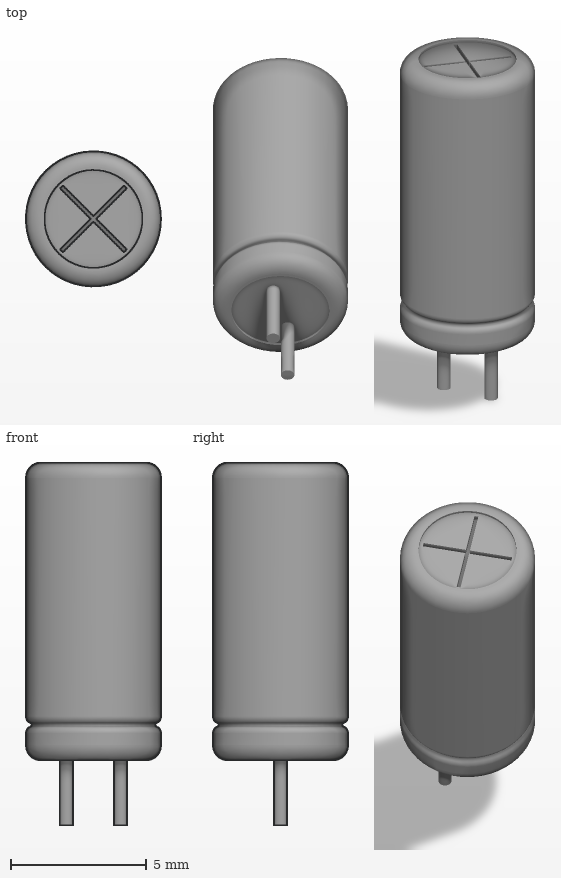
import cadquery as cq
import math

total_height = 13.39
outer_diameter = 5.0
lead_length = 2.4

sleeve_thickness = 0.1
edge_radius = 0.56
opening_diameter = 3.62

groove_height = 3.71
groove_half_width = 0.31
groove_root_diameter = 4.57
groove_lip_radius = 0.25

vent_length = 3.33
vent_width = 0.15
vent_depth = 0.2
vent_angles = (45, 135)

lead_diameter = 0.5
lead_spacing = 2.0

outer_radius = outer_diameter / 2
opening_radius = opening_diameter / 2
base_height = lead_length
can_base_height = base_height + sleeve_thickness
can_top_height = total_height - sleeve_thickness

groove_depth = outer_radius - groove_root_diameter / 2
groove_root_radius = (groove_half_width**2 + groove_depth**2) / (2 * groove_depth) - groove_lip_radius


def polar_point(center, radius, angle):
    """Point on an arc, with the angle in degrees from the outward direction."""
    turn = math.radians(angle)
    return (center[0] + radius * math.cos(turn), center[1] + radius * math.sin(turn))


def body_of_revolution(inset):
    """Round-edged grooved cylinder, its surface moved inward from the outer surface by inset."""
    wall = outer_radius - inset
    bottom = base_height + inset
    top = total_height - inset
    corner = edge_radius - inset
    lip = groove_lip_radius - inset

    corner_center_x = outer_radius - edge_radius
    low_corner = (corner_center_x, base_height + edge_radius)
    high_corner = (corner_center_x, total_height - edge_radius)

    lip_center_x = outer_radius - groove_lip_radius
    low_lip = (lip_center_x, groove_height - groove_half_width)
    high_lip = (lip_center_x, groove_height + groove_half_width)
    root_point = (groove_root_diameter / 2 - inset, groove_height)
    root_center_x = groove_root_diameter / 2 + groove_root_radius
    lip_sweep = math.degrees(math.atan2(groove_half_width, root_center_x - lip_center_x))

    return (
        cq.Workplane("XZ")
        .moveTo(0, bottom)
        .lineTo(corner_center_x, bottom)
        .threePointArc(polar_point(low_corner, corner, -45), (wall, low_corner[1]))
        .lineTo(wall, low_lip[1])
        .threePointArc(polar_point(low_lip, lip, lip_sweep / 2), polar_point(low_lip, lip, lip_sweep))
        .threePointArc(root_point, polar_point(high_lip, lip, -lip_sweep))
        .threePointArc(polar_point(high_lip, lip, -lip_sweep / 2), (wall, high_lip[1]))
        .lineTo(wall, high_corner[1])
        .threePointArc(polar_point(high_corner, corner, 45), (corner_center_x, top))
        .lineTo(0, top)
        .close()
        .revolve(360, (0, 0, 0), (0, 1, 0))
    )


def make_sleeve():
    """Thin sleeve over the can, open in the middle of both ends."""
    opening = (
        cq.Workplane("XY", origin=(0, 0, base_height))
        .circle(opening_radius)
        .extrude(total_height - base_height)
    )
    return body_of_revolution(0).cut(body_of_revolution(sleeve_thickness)).cut(opening)


def vent_slot(angle):
    """One straight slot of the vent cross, cut down from the can top."""
    return (
        cq.Workplane("XY", origin=(0, 0, can_top_height - vent_depth))
        .rect(vent_length, vent_width)
        .extrude(vent_depth)
        .rotate((0, 0, 0), (0, 0, 1), angle)
    )


def make_capacitor():
    """Can that fills the sleeve, with the vent cross and its two leads."""
    capacitor = body_of_revolution(sleeve_thickness)
    for angle in vent_angles:
        capacitor = capacitor.cut(vent_slot(angle))
    leads = (
        cq.Workplane("XY")
        .rarray(lead_spacing, 0.13, 2, 1)
        .circle(lead_diameter / 2)
        .extrude(can_base_height)
    )
    return capacitor.union(leads)


sleeve = make_sleeve()
capacitor = make_capacitor()

result = cq.Compound.makeCompound([sleeve.val(), capacitor.val()])